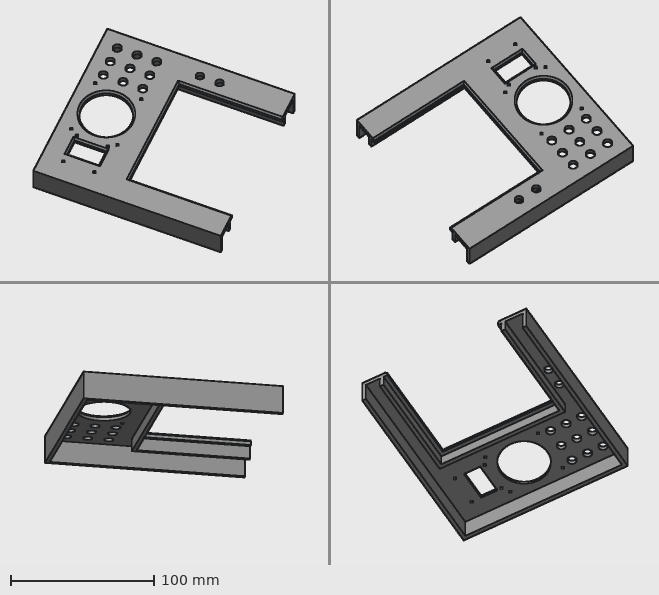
import cadquery as cq

LENGTH = 142.5
WIDTH = 132.25
HEIGHT = 20.0
PLATE = 4.0
WALL = 3.0
BEVEL = 1.5
CUT_MARGIN = 1.0

OPENING_X = 64.5
FRONT_ARM = 20.25
BACK_ARM = 23.0
LIP = 3.0
RIM_BOTTOM = 7.0

DIAL_DIAMETER = 37.5
DIAL_X = 28.0
DIAL_Y = 64.75
DIAL_SCREW_PITCH_X = 35.0
DIAL_SCREW_PITCH_Y = 42.5

WINDOW_LENGTH = 24.0
WINDOW_WIDTH = 13.0
WINDOW_Y = 29.75
WINDOW_SCREW_PITCH_X = 23.5
WINDOW_SCREW_PITCH_Y = 24.0
WINDOW_SCREW_Y = 27.75

SCREW_DIAMETER = 2.0

BUTTON_DIAMETER = 6.5
BUTTON_COUNT = 3
BUTTON_PITCH_X = 15.0
BUTTON_PITCH_Y = 12.5
BUTTON_GRID_Y = 107.25

ARM_HOLE_DIAMETER = 6.0
ARM_HOLE_PITCH = 15.0
ARM_HOLE_COUNT = 2
ARM_HOLES_X = 83.0
ARM_HOLES_Y = 120.25

UNDERSIDE = HEIGHT - PLATE


def box(x_min, x_max, y_min, y_max, z_min, z_max):
    """Block between two opposite corners."""
    block = cq.Workplane("XY").box(x_max - x_min, y_max - y_min, z_max - z_min, centered=False)
    return block.translate((x_min, y_min, z_min))


def recess_cutter(offset, z_min, z_max):
    """Block over the display opening, grown outward by offset and running out past +X."""
    return box(
        OPENING_X - offset,
        LENGTH + CUT_MARGIN,
        FRONT_ARM - offset,
        WIDTH - BACK_ARM + offset,
        z_min,
        z_max,
    )


def hollow_body():
    """Plate with a skirt on three sides and a shorter wall under the edge of the opening.

    The body is open underneath and at the +X ends of the arms.
    """
    outer = box(0, LENGTH, 0, WIDTH, 0, HEIGHT)
    cavity = box(WALL, LENGTH + CUT_MARGIN, WALL, WIDTH - WALL, -CUT_MARGIN, UNDERSIDE)
    rim_block = recess_cutter(LIP + WALL, RIM_BOTTOM, UNDERSIDE)
    recess = recess_cutter(LIP, -CUT_MARGIN, UNDERSIDE)
    return outer.cut(cavity.cut(rim_block)).cut(recess)


def bevelled_opening_cutter(x_min, x_max, y_min, y_max):
    """Rectangular cutter through the plate that flares outward along its top edges."""
    length = x_max - x_min
    width = y_max - y_min
    center = ((x_min + x_max) / 2, (y_min + y_max) / 2, HEIGHT)
    flare = (
        cq.Workplane("XY", origin=center)
        .rect(length + 2 * BEVEL, width + 2 * BEVEL)
        .workplane(offset=-BEVEL)
        .rect(length, width)
        .loft()
    )
    return box(x_min, x_max, y_min, y_max, -CUT_MARGIN, HEIGHT).union(flare)


def display_cutter():
    """Bevelled display opening that runs out through the +X side."""
    return bevelled_opening_cutter(
        OPENING_X, LENGTH + CUT_MARGIN, FRONT_ARM, WIDTH - BACK_ARM
    )


def dial_cutter():
    """Round through hole with a bevelled top edge."""
    radius = DIAL_DIAMETER / 2
    profile = (
        cq.Workplane("XZ")
        .moveTo(0, 0)
        .lineTo(radius, 0)
        .lineTo(radius, HEIGHT - BEVEL)
        .lineTo(radius + BEVEL, HEIGHT)
        .lineTo(0, HEIGHT)
        .close()
    )
    return profile.revolve(360, (0, 0), (0, 1)).translate((DIAL_X, DIAL_Y, 0))


def window_cutter():
    """Rectangular through hole with bevelled top edges."""
    return bevelled_opening_cutter(
        DIAL_X - WINDOW_LENGTH / 2,
        DIAL_X + WINDOW_LENGTH / 2,
        WINDOW_Y - WINDOW_WIDTH / 2,
        WINDOW_Y + WINDOW_WIDTH / 2,
    )


def hole_grid(center_x, center_y, pitch_x, pitch_y, count_x, count_y, diameter):
    """Cylinders for a rectangular grid of holes through the plate."""
    return (
        cq.Workplane("XY", origin=(center_x, center_y, UNDERSIDE - CUT_MARGIN))
        .rarray(pitch_x, pitch_y, count_x, count_y)
        .circle(diameter / 2)
        .extrude(PLATE + 2 * CUT_MARGIN)
    )


def screw_holes(center_y, pitch_x, pitch_y):
    """Four screw holes at the corners of a rectangle on the dial's centre line."""
    return hole_grid(DIAL_X, center_y, pitch_x, pitch_y, 2, 2, SCREW_DIAMETER)


def button_holes():
    """Rectangular array of button holes behind the dial."""
    return hole_grid(
        DIAL_X,
        BUTTON_GRID_Y,
        BUTTON_PITCH_X,
        BUTTON_PITCH_Y,
        BUTTON_COUNT,
        BUTTON_COUNT,
        BUTTON_DIAMETER,
    )


def arm_holes():
    """Row of holes along the back arm."""
    return hole_grid(
        ARM_HOLES_X,
        ARM_HOLES_Y,
        ARM_HOLE_PITCH,
        ARM_HOLE_PITCH,
        ARM_HOLE_COUNT,
        1,
        ARM_HOLE_DIAMETER,
    )


result = (
    hollow_body()
    .cut(display_cutter())
    .cut(dial_cutter())
    .cut(window_cutter())
    .cut(screw_holes(DIAL_Y, DIAL_SCREW_PITCH_X, DIAL_SCREW_PITCH_Y))
    .cut(screw_holes(WINDOW_SCREW_Y, WINDOW_SCREW_PITCH_X, WINDOW_SCREW_PITCH_Y))
    .cut(button_holes())
    .cut(arm_holes())
)